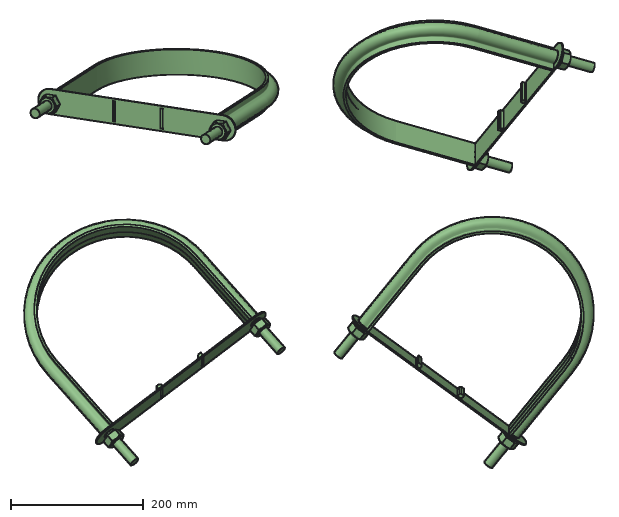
import cadquery as cq
import math

total_length = 349.0
leg_offset = 143.0
thread_diameter = 15.5
shank_diameter = 17.8
right_shank_reach = 2.0

plate_length = 331.0
plate_width = 40.0
plate_thickness = 2.0
plate_bottom = 60.7
plate_shift = -2.0
plate_top = plate_bottom + plate_thickness

tab_inner = 36.0
tab_outer = 43.3
tab_height = 6.5
tab_chamfer = 2.0
tab_length = 33.5
groove_inner = 37.7
groove_outer = 42.0
groove_depth = 4.0
groove_length = 32.0

sleeve_radius = 10.3
strip_inner = 134.0
strip_outer = 138.0
strip_width = plate_width
sleeve_root_fillet = 1.5

nut_flats = 26.5
nut_bottom = 42.2
nut_height = 13.3
nut_chamfer_height = 1.7
nut_face_radius = 12.2
nut_corner_radius = nut_flats / math.sqrt(3)

bend_center = total_length - leg_offset - sleeve_radius
shank_end_left = plate_bottom
shank_end_right = plate_bottom - right_shank_reach
hole_overrun = 3.5


def cylinder_along_y(x, y, diameter, length):
    return cq.Workplane("XZ", origin=(x, y, 0)).circle(diameter / 2).extrude(-length)


def bend_and_legs(section, start_y):
    """Carry a left-leg section up from start_y, round the bend and down the right leg.

    section(y) draws the closed outline on the XZ plane at height y.
    """
    left_leg = section(start_y).extrude(start_y - bend_center)
    right_leg = left_leg.mirror("YZ")
    bend = section(bend_center).revolve(180, (0, 0, 0), (0, -1, 0))
    return left_leg.union(bend).union(right_leg)


def shank_section(y):
    return cq.Workplane("XZ", origin=(0, y, 0)).pushPoints([(-leg_offset, 0)]).circle(shank_diameter / 2)


def liner_section(y):
    """Flat strip with a round-topped sleeve on it, filleted where the two meet."""
    half_strip = strip_width / 2
    root_x = -strip_outer - sleeve_root_fillet
    root_z = sleeve_radius + sleeve_root_fillet
    arc_bow = sleeve_root_fillet * (1 - math.sqrt(0.5))
    arc_x = -strip_outer - arc_bow
    arc_z = sleeve_radius + arc_bow
    return (
        cq.Workplane("XZ", origin=(0, y, 0))
        .moveTo(-strip_inner, -half_strip)
        .lineTo(-strip_outer, -half_strip)
        .lineTo(-strip_outer, -root_z)
        .threePointArc((arc_x, -arc_z), (root_x, -sleeve_radius))
        .lineTo(-leg_offset, -sleeve_radius)
        .threePointArc((-leg_offset - sleeve_radius, 0), (-leg_offset, sleeve_radius))
        .lineTo(root_x, sleeve_radius)
        .threePointArc((arc_x, arc_z), (-strip_outer, root_z))
        .lineTo(-strip_outer, half_strip)
        .lineTo(-strip_inner, half_strip)
        .close()
    )


def make_u_bolt():
    bolt = bend_and_legs(shank_section, plate_top)
    for side, shank_end in ((-1, shank_end_left), (1, shank_end_right)):
        x = side * leg_offset
        shank_tip = cylinder_along_y(x, shank_end, shank_diameter, plate_top - shank_end)
        thread = cylinder_along_y(x, 0, thread_diameter, shank_end)
        bolt = bolt.union(shank_tip).union(thread)
    return bolt


def make_liner():
    shank_space = bend_and_legs(shank_section, plate_top)
    return bend_and_legs(liner_section, plate_top).cut(shank_space)


def make_tab():
    """Right-hand tab: a ridge whose inner top edge is bevelled."""
    ridge_top = plate_top + tab_height
    return (
        cq.Workplane("XY", origin=(0, 0, -tab_length / 2))
        .moveTo(tab_inner, plate_bottom)
        .lineTo(tab_outer, plate_bottom)
        .lineTo(tab_outer, ridge_top)
        .lineTo(tab_inner + tab_chamfer, ridge_top)
        .lineTo(tab_inner, ridge_top - tab_chamfer)
        .close()
        .extrude(tab_length)
    )


def make_groove():
    """Right-hand groove under the tab, sloping down to its deepest at the outer side."""
    return (
        cq.Workplane("XY", origin=(0, 0, -groove_length / 2))
        .moveTo(groove_inner, plate_bottom)
        .lineTo(groove_outer, plate_bottom)
        .lineTo(groove_outer, plate_bottom + groove_depth)
        .close()
        .extrude(groove_length)
    )


def make_plate():
    plate = (
        cq.Workplane("XZ", origin=(plate_shift, plate_bottom, 0))
        .slot2D(plate_length, plate_width)
        .extrude(-plate_thickness)
    )
    tab = make_tab()
    groove = make_groove()
    plate = plate.union(tab).union(tab.mirror("YZ"))
    plate = plate.cut(groove).cut(groove.mirror("YZ"))
    for side in (-1, 1):
        hole_start = plate_bottom - hole_overrun
        hole_length = plate_thickness + 2 * hole_overrun
        plate = plate.cut(cylinder_along_y(side * leg_offset, hole_start, shank_diameter, hole_length))
    return plate


def make_nut(x):
    hexagon = (
        cq.Workplane("XZ", origin=(x, nut_bottom, 0))
        .polygon(6, 2 * nut_corner_radius)
        .extrude(-nut_height)
    )
    blank = (
        cq.Workplane("XY", origin=(x, nut_bottom, 0))
        .lineTo(nut_face_radius, 0)
        .lineTo(nut_corner_radius, nut_chamfer_height)
        .lineTo(nut_corner_radius, nut_height)
        .lineTo(0, nut_height)
        .close()
        .revolve(360, (0, 0, 0), (0, 1, 0))
    )
    bore = cylinder_along_y(x, nut_bottom, thread_diameter, nut_height)
    return hexagon.intersect(blank).cut(bore)


u_bolt = make_u_bolt()
liner = make_liner()
plate = make_plate()
nuts = [make_nut(side * leg_offset) for side in (-1, 1)]

result = cq.Compound.makeCompound([u_bolt.val(), liner.val(), plate.val(), *[nut.val() for nut in nuts]])